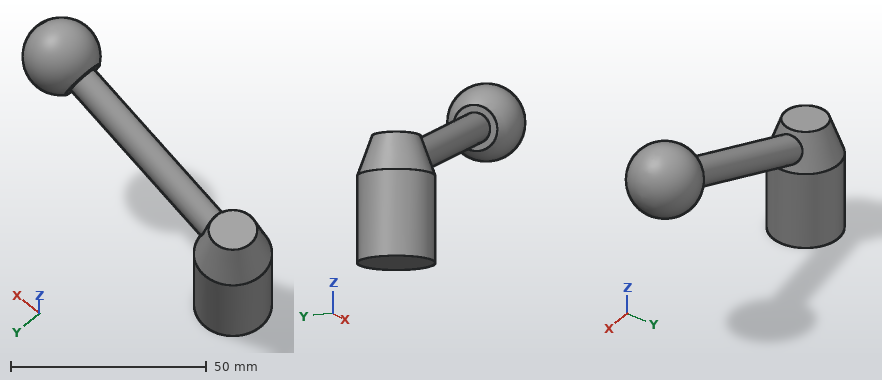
import cadquery as cq
import math

hub_diameter = 20.0
cylinder_height = 22.55
hub_height = 33.0
arm_angle = 20

overall_length = 82
overall_height = 57.4
arm_diameter = 8.0
ball_diameter = hub_diameter
ball_flat_diameter = 12.0

hub_radius = hub_diameter / 2
ball_radius = ball_diameter / 2
slope = math.tan(math.radians(arm_angle))
hub_top_radius = hub_radius - (hub_height - cylinder_height) * slope

ball_x = overall_length - hub_radius - ball_radius
ball_z = overall_height - ball_radius
arm_start = cq.Vector(0, 0, ball_z - ball_x * slope)
ball_center = cq.Vector(ball_x, 0, ball_z)
arm_vector = ball_center - arm_start
arm_direction = arm_vector.normalized()


def make_hub():
    return (
        cq.Workplane("XZ")
        .polyline([
            (0, 0),
            (hub_radius, 0),
            (hub_radius, cylinder_height),
            (hub_top_radius, hub_height),
            (0, hub_height),
        ])
        .close()
        .revolve(360, (0, 0), (0, 1))
    )


def make_arm():
    """Straight rod from the hub axis to the centre of the ball."""
    return cq.Workplane(
        cq.Solid.makeCylinder(arm_diameter / 2, arm_vector.Length, arm_start, arm_direction)
    )


def make_ball():
    """Ball with a flat, square to the arm, where the arm enters."""
    flat_distance = math.sqrt(ball_radius**2 - (ball_flat_diameter / 2) ** 2)
    ball = cq.Workplane("XY").sphere(ball_radius).translate(ball_center)
    cutter_start = ball_center - arm_direction * ball_diameter
    cutter = cq.Solid.makeCylinder(
        ball_radius, ball_diameter - flat_distance, cutter_start, arm_direction
    )
    return ball.cut(cq.Workplane(cutter))


result = make_hub().union(make_arm()).union(make_ball())